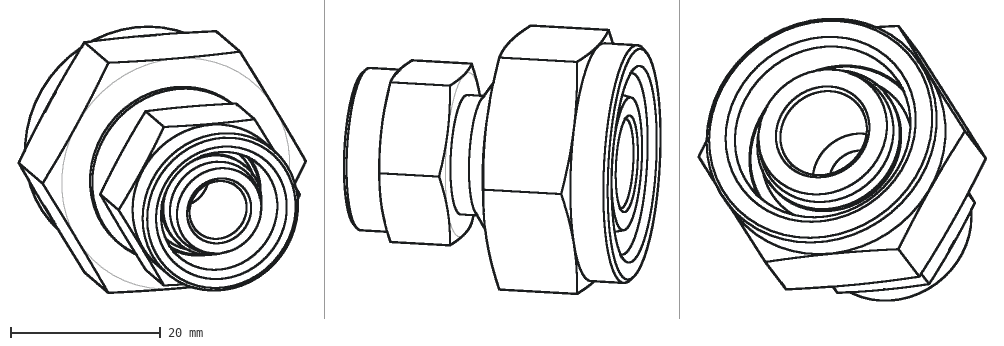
import cadquery as cq
import math


LENGTH = 37.45
CONE_INSET = 1.0

CONE_HALF_ANGLE = 12.0
CONE_RISE = 1.57
COLLAR_END_X = 18.0
NECK_START_X = 20.82
BORE_EDGE_CHAMFER = 0.5
LARGE_BORE_RADIUS = 6.0
SMALL_BORE_RADIUS = 4.0
BORE_STEP_HALF_ANGLE = 60.0

GROOVE_OFFSET = 1.87
GROOVE_WIDTH = 2.25
BEAD_TUBE_RADIUS = 1.0
BEAD_CREST_RISE = 0.95

LARGE_NUT_LENGTH = 17.05
LARGE_NUT_RIM_LENGTH = 5.0
LARGE_FLAT_RADIUS = 16.0
LARGE_RIM_RADIUS = 15.95
LARGE_SHANK_RADIUS = 12.02
LARGE_CONE_TIP_RADIUS = 8.9

SMALL_NUT_LENGTH = 14.08
SMALL_NUT_RIM_LENGTH = 4.98
SMALL_FLAT_RADIUS = 11.0
SMALL_RIM_RADIUS = 10.9
SMALL_SHANK_RADIUS = 8.0
SMALL_CONE_TIP_RADIUS = 5.9

RIM_CHAMFER = 0.5
MOUTH_CHAMFER = 1.0
THREAD_CLEARANCE = 0.15
HEX_CHAMFER_ANGLE = 15.0

CONE_LENGTH = CONE_RISE / math.tan(math.radians(CONE_HALF_ANGLE))
CONE_ROOT_INSET = CONE_INSET + CONE_LENGTH


def revolve_about_x(points):
    """Turn a closed (x, radius) outline about the X axis."""
    return cq.Workplane("XY").polyline(points).close().revolve(360, (0, 0, 0), (1, 0, 0))


def flip_to_small_end(shape):
    """Turn a shape built from the mouth at X = 0 round to the opposite end."""
    return shape.rotate((0, 0, 0), (0, 0, 1), 180).translate((LENGTH, 0, 0))


def make_nut(length, rim_length, flat_radius, rim_radius, shank_radius):
    """Swivel nut with its mouth at X = 0 and its hexagon towards +X."""
    corner_radius = flat_radius / math.cos(math.radians(30))
    chamfer_length = (corner_radius - flat_radius) * math.tan(math.radians(HEX_CHAMFER_ANGLE))

    hexagon = (
        cq.Workplane("YZ", origin=(rim_length, 0, 0))
        .polygon(6, 2 * corner_radius)
        .extrude(length - rim_length)
    )
    turned_envelope = revolve_about_x([
        (rim_length, 0),
        (rim_length, flat_radius),
        (rim_length + chamfer_length, corner_radius),
        (length - chamfer_length, corner_radius),
        (length, flat_radius),
        (length, 0),
    ])
    rim = revolve_about_x([
        (0, 0),
        (0, rim_radius - RIM_CHAMFER),
        (RIM_CHAMFER, rim_radius),
        (rim_length, rim_radius),
        (rim_length, 0),
    ])

    thread_radius = shank_radius + THREAD_CLEARANCE
    opening = revolve_about_x([
        (0, 0),
        (0, thread_radius + MOUTH_CHAMFER),
        (MOUTH_CHAMFER, thread_radius),
        (CONE_ROOT_INSET, thread_radius),
        (CONE_ROOT_INSET, shank_radius),
        (length, shank_radius),
        (length, 0),
    ])
    return hexagon.intersect(turned_envelope).union(rim).cut(opening)


def make_cone_end(tip_radius):
    """Solid sealing cone with its groove and bead, its tip facing the mouth at X = 0."""
    root_radius = tip_radius + CONE_RISE
    cone = revolve_about_x([
        (CONE_INSET, 0),
        (CONE_INSET, tip_radius),
        (CONE_ROOT_INSET, root_radius),
        (CONE_ROOT_INSET, 0),
    ])

    groove_start = CONE_INSET + GROOVE_OFFSET
    groove_end = groove_start + GROOVE_WIDTH
    bead_center_radius = tip_radius + BEAD_CREST_RISE - BEAD_TUBE_RADIUS
    groove_floor_radius = bead_center_radius - BEAD_TUBE_RADIUS / 2
    groove = revolve_about_x([
        (groove_start, groove_floor_radius),
        (groove_start, root_radius),
        (groove_end, root_radius),
        (groove_end, groove_floor_radius),
    ])
    bead = (
        cq.Workplane("XY")
        .center((groove_start + groove_end) / 2, bead_center_radius)
        .circle(BEAD_TUBE_RADIUS)
        .revolve(360, (0, -bead_center_radius, 0), (1, -bead_center_radius, 0))
    )
    return cone.cut(groove).union(bead)


def make_bore():
    """Through passage: wide from the large end, narrow to the small end."""
    large_tip_x = CONE_INSET
    small_tip_x = LENGTH - CONE_INSET
    step_length = (LARGE_BORE_RADIUS - SMALL_BORE_RADIUS) / math.tan(math.radians(BORE_STEP_HALF_ANGLE))
    return revolve_about_x([
        (large_tip_x, 0),
        (large_tip_x, LARGE_BORE_RADIUS + BORE_EDGE_CHAMFER),
        (large_tip_x + BORE_EDGE_CHAMFER, LARGE_BORE_RADIUS),
        (COLLAR_END_X, LARGE_BORE_RADIUS),
        (COLLAR_END_X + step_length, SMALL_BORE_RADIUS),
        (small_tip_x - BORE_EDGE_CHAMFER, SMALL_BORE_RADIUS),
        (small_tip_x, SMALL_BORE_RADIUS + BORE_EDGE_CHAMFER),
        (small_tip_x, 0),
    ])


def make_fitting_body():
    """Collar, taper and neck between the two sealing cones, bored through."""
    shank = revolve_about_x([
        (CONE_ROOT_INSET, 0),
        (CONE_ROOT_INSET, LARGE_SHANK_RADIUS),
        (COLLAR_END_X, LARGE_SHANK_RADIUS),
        (NECK_START_X, SMALL_SHANK_RADIUS),
        (LENGTH - CONE_ROOT_INSET, SMALL_SHANK_RADIUS),
        (LENGTH - CONE_ROOT_INSET, 0),
    ])
    large_cone = make_cone_end(LARGE_CONE_TIP_RADIUS)
    small_cone = flip_to_small_end(make_cone_end(SMALL_CONE_TIP_RADIUS))
    return shank.union(large_cone).union(small_cone).cut(make_bore())


fitting_body = make_fitting_body()
large_nut = make_nut(
    LARGE_NUT_LENGTH, LARGE_NUT_RIM_LENGTH, LARGE_FLAT_RADIUS, LARGE_RIM_RADIUS, LARGE_SHANK_RADIUS
)
small_nut = flip_to_small_end(make_nut(
    SMALL_NUT_LENGTH, SMALL_NUT_RIM_LENGTH, SMALL_FLAT_RADIUS, SMALL_RIM_RADIUS, SMALL_SHANK_RADIUS
))

result = cq.Compound.makeCompound([fitting_body.val(), large_nut.val(), small_nut.val()])